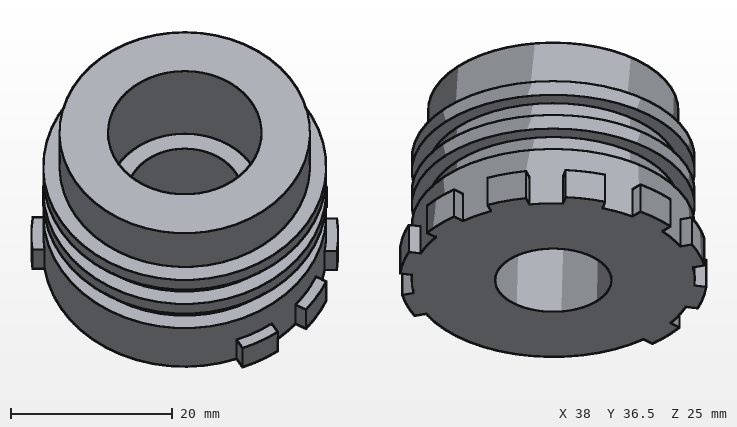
import cadquery as cq

total_height = 25.0
lug_height = 4.0
collar_top = 8.0
ring_thickness = 2.0
ring_bottoms = (11.0, 16.0)

lug_outer_diameter = 37.98
ring_diameter = 35.0
groove_diameter = 31.2
neck_diameter = 31.0
bore_diameter = 19.0
through_diameter = 14.4

bore_depth = 13.0

lug_width = 5.0
lug_spacing = 30
first_lug_angle = -30
lug_count = 9


def disc(diameter, bottom, top):
    """Solid cylinder about Z between two heights."""
    return cq.Workplane("XY").workplane(offset=bottom).circle(diameter / 2).extrude(top - bottom)


def lug(angle):
    """Parallel-sided radial block whose outer face follows the lug circle."""
    reach = lug_outer_diameter / 2
    block = cq.Workplane("XY").box(reach, lug_width, lug_height, centered=(False, True, False))
    block = block.rotate((0, 0, 0), (0, 0, 1), angle)
    return block.intersect(disc(lug_outer_diameter, 0, lug_height))


top_ring_top = ring_bottoms[-1] + ring_thickness
body = disc(ring_diameter, 0, collar_top)
body = body.union(disc(groove_diameter, 0, top_ring_top))
body = body.union(disc(neck_diameter, 0, total_height))
for ring_bottom in ring_bottoms:
    body = body.union(disc(ring_diameter, ring_bottom, ring_bottom + ring_thickness))

for index in range(lug_count):
    body = body.union(lug(first_lug_angle + index * lug_spacing))

body = body.cut(disc(through_diameter, 0, total_height))
result = body.cut(disc(bore_diameter, total_height - bore_depth, total_height))